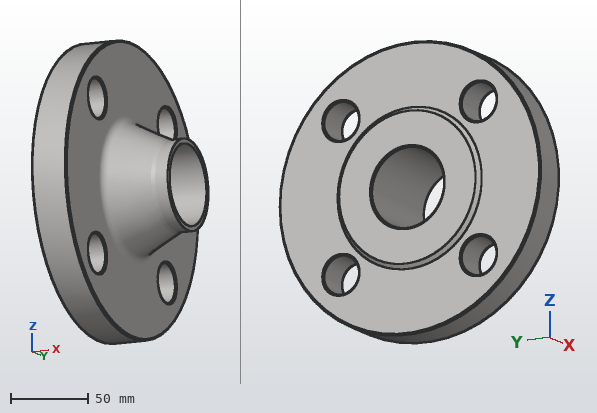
import cadquery as cq
import math

total_length = 68.0
flange_diameter = 195.0
flange_back = 28.0
raised_face_height = 3.0
raised_face_diameter = 101.8
edge_chamfer = 1.0

neck_diameter = 60.3
neck_cone_end = 58.0
cone_angle = 26.2
neck_fillet = 6.0
bore_diameter = 53.8

bolt_hole_count = 4
bolt_hole_diameter = 26.0
bolt_circle_diameter = 145.0
first_bolt_angle = 45.0


def flange_body():
    """Revolve the outer profile, whose points are (X, radius)."""
    flange_radius = flange_diameter / 2
    face_radius = raised_face_diameter / 2
    neck_radius = neck_diameter / 2
    cone_length = neck_cone_end - flange_back
    cone_base_radius = neck_radius + cone_length * math.tan(math.radians(cone_angle))
    profile = (
        cq.Workplane("XY")
        .moveTo(0, 0)
        .lineTo(0, face_radius)
        .lineTo(raised_face_height, face_radius + raised_face_height)
        .lineTo(raised_face_height, flange_radius - edge_chamfer)
        .lineTo(raised_face_height + edge_chamfer, flange_radius)
        .lineTo(flange_back - edge_chamfer, flange_radius)
        .lineTo(flange_back, flange_radius - edge_chamfer)
        .lineTo(flange_back, cone_base_radius)
        .lineTo(neck_cone_end, neck_radius)
        .lineTo(total_length, neck_radius)
        .lineTo(total_length, 0)
        .close()
    )
    body = profile.revolve(360, (0, 0, 0), (1, 0, 0))

    margin = 0.2
    for corner_x, corner_radius in ((flange_back, cone_base_radius), (neck_cone_end, neck_radius)):
        reach = corner_radius + margin
        near_side = (corner_x - margin, -reach, -reach)
        far_side = (corner_x + margin, reach, reach)
        corner = cq.selectors.BoxSelector(near_side, far_side, boundingbox=True)
        body = body.edges("%CIRCLE").edges(corner).fillet(neck_fillet)
    return body


def round_cutter(diameter, start, end):
    """Cylinder along X from start to end."""
    return cq.Workplane("YZ", origin=(start, 0, 0)).circle(diameter / 2).extrude(end - start)


def bore_cutter():
    """Through bore, chamfered at the raised face."""
    mouth = cq.Solid.makeCone(
        bore_diameter / 2 + edge_chamfer,
        bore_diameter / 2,
        edge_chamfer,
        pnt=cq.Vector(0, 0, 0),
        dir=cq.Vector(1, 0, 0),
    )
    return round_cutter(bore_diameter, 0, total_length).union(cq.Workplane(mouth))


def bolt_hole_cutter():
    """Bolt hole on the flange axis, flared at both flange faces."""
    hole = round_cutter(bolt_hole_diameter, raised_face_height, flange_back)
    for mouth_x, inward in ((raised_face_height, 1), (flange_back, -1)):
        mouth = cq.Solid.makeCone(
            bolt_hole_diameter / 2 + edge_chamfer,
            bolt_hole_diameter / 2,
            edge_chamfer,
            pnt=cq.Vector(mouth_x, 0, 0),
            dir=cq.Vector(inward, 0, 0),
        )
        hole = hole.union(cq.Workplane(mouth))
    return hole


result = flange_body().cut(bore_cutter())

bolt_hole = bolt_hole_cutter().translate((0, bolt_circle_diameter / 2, 0))
for index in range(bolt_hole_count):
    bolt_angle = first_bolt_angle + index * 360 / bolt_hole_count
    result = result.cut(bolt_hole.rotate((0, 0, 0), (1, 0, 0), bolt_angle))